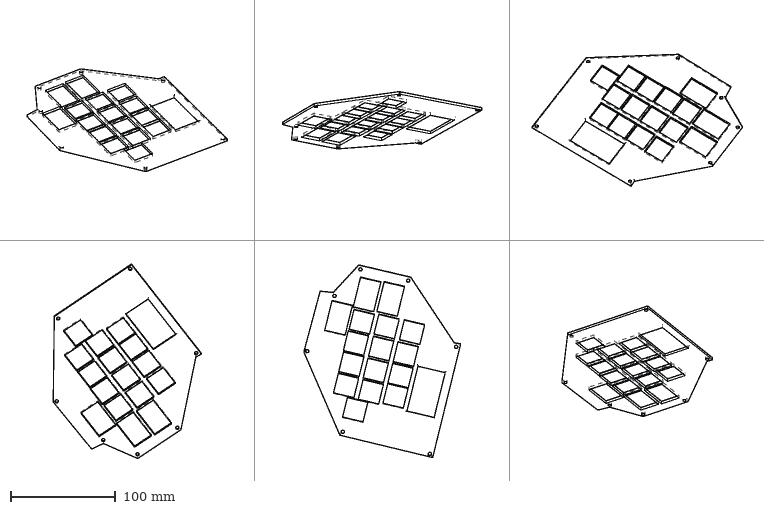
import cadquery as cq

length = 166.5
width = 144.0
thickness = 3.0
edge_radius = 1.0

right = length / 2
back = width / 2
top = thickness / 2

outline = [
    (right, back),
    (-31.0, back),
    (-30.6, 65.8),
    (-right, 10.3),
    (-right, -40.8),
    (-51.5, -58.3),
    (-49.6, -70.8),
    (11.7, -back),
    (82.8, -19.5),
]

key_size = 20
wide_key_length = 30

square_key_centers = [
    (-31.1, 24.1), (-8.8, 23.3), (12.7, 23.3), (33.1, 23.3),
    (-30.8, -0.8), (-8.7, -0.8), (13.3, -0.8), (34.8, -0.5),
    (-29.8, -25), (-8.2, -25.5), (12.8, -25), (34.3, -25),
    (55.3, -11.0),
]
wide_key_centers = [(-58.0, -3.3), (-57.0, -26.3), (-28.3, -47.5)]

window_length = 45.3
window_width = 26.6
window_center = (22.3, 50.8)

screw_hole_diameter = 3.2
screw_hole_centers = [
    (-27.3, 68.5), (80.5, 68.5),
    (-79.6, 8.7), (-79.6, -38.3),
    (-48.5, -56.3), (10.2, -69.0), (79.0, -17.5),
]


def make_body():
    """Plate without cutouts, its whole top edge rounded."""
    body = cq.Workplane("XY").workplane(offset=-top).polyline(outline).close().extrude(thickness)
    return body.faces(">Z").edges().fillet(edge_radius)


def make_rounded_openings():
    """Rectangular slab holding the display window and screw holes, their top rims rounded."""
    slab = cq.Workplane("XY").box(length, width, thickness)
    window = slab.faces(">Z").workplane().center(*window_center).rect(window_length, window_width)
    slab = window.cutThruAll()
    screws = slab.faces(">Z").workplane(origin=(0, 0, top)).pushPoints(screw_hole_centers)
    slab = screws.hole(screw_hole_diameter)
    rims = [rim for wire in slab.faces(">Z").val().innerWires() for rim in wire.Edges()]
    return slab.newObject(rims).fillet(edge_radius)


def make_key_cutouts(centers, size_x):
    """Blocks that pass through the plate at the given key centers."""
    return cq.Workplane("XY").pushPoints(centers).box(size_x, key_size, thickness)


result = make_body().intersect(make_rounded_openings())
result = result.cut(make_key_cutouts(square_key_centers, key_size))
result = result.cut(make_key_cutouts(wide_key_centers, wide_key_length))